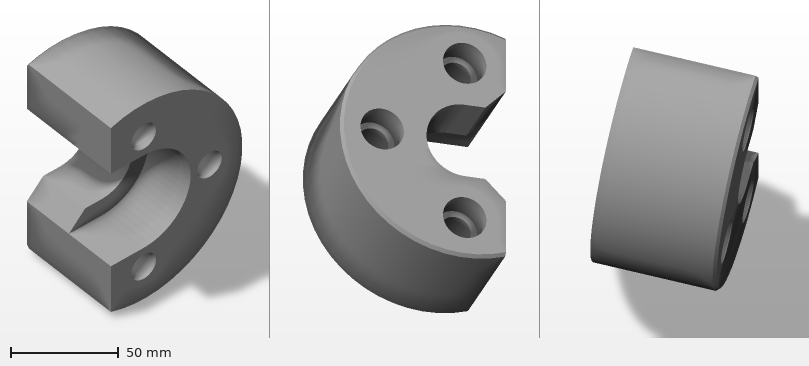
import cadquery as cq

thickness = 60.0
outer_radius = 60.0
flat_offset = 20.0
edge_chamfer = 1.5

narrow_slot_radius = 18.5
wide_slot_radius = 28.5
slot_step_x = thickness / 2
mouth_chamfer = wide_slot_radius - narrow_slot_radius

bolt_circle_radius = 40.0
bolt_hole_diameter = 15.0
counterbore_diameter = 21.0
counterbore_depth = 15.0
bolt_positions = [
    (0, bolt_circle_radius),
    (bolt_circle_radius, 0),
    (0, -bolt_circle_radius),
]


def plane_at(x):
    """Work plane normal to +X, with local axes along Y and Z."""
    return cq.Workplane("YZ", origin=(x, 0, 0))


def make_body():
    """Disc with a chamfered rim on the -X face, cut flat on the -Y side."""
    disc = plane_at(0).circle(outer_radius).extrude(thickness)
    disc = disc.faces("<X").edges().chamfer(edge_chamfer)
    kept_width = outer_radius + flat_offset
    kept_block = (
        plane_at(0)
        .center(kept_width / 2 - flat_offset, 0)
        .rect(kept_width, 2 * outer_radius)
        .extrude(thickness)
    )
    return disc.intersect(kept_block)


def make_narrow_slot():
    """Round-ended slot that flares out at its mouth."""
    flare_start_y = mouth_chamfer - flat_offset
    return (
        plane_at(0)
        .moveTo(-flat_offset, wide_slot_radius)
        .lineTo(flare_start_y, narrow_slot_radius)
        .lineTo(0, narrow_slot_radius)
        .threePointArc((narrow_slot_radius, 0), (0, -narrow_slot_radius))
        .lineTo(flare_start_y, -narrow_slot_radius)
        .lineTo(-flat_offset, -wide_slot_radius)
        .close()
        .extrude(slot_step_x)
    )


def make_wide_slot():
    """Larger round-ended slot behind the step."""
    return (
        plane_at(slot_step_x)
        .moveTo(-flat_offset, wide_slot_radius)
        .lineTo(0, wide_slot_radius)
        .threePointArc((wide_slot_radius, 0), (0, -wide_slot_radius))
        .lineTo(-flat_offset, -wide_slot_radius)
        .close()
        .extrude(thickness - slot_step_x)
    )


def make_bolt_cutters():
    """Through holes counterbored from the -X face."""
    holes = plane_at(0).pushPoints(bolt_positions).circle(bolt_hole_diameter / 2).extrude(thickness)
    counterbores = (
        plane_at(0)
        .pushPoints(bolt_positions)
        .circle(counterbore_diameter / 2)
        .extrude(counterbore_depth)
    )
    return holes.union(counterbores)


result = make_body().cut(make_narrow_slot()).cut(make_wide_slot()).cut(make_bolt_cutters())